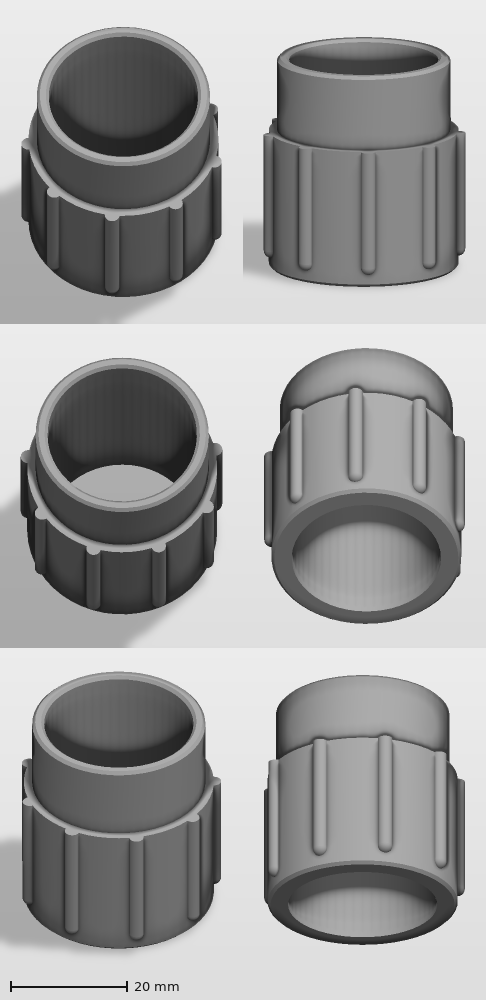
import cadquery as cq

total_height = 36.9
body_height = 24.0
body_diameter = 32.7
neck_diameter = 29.8
bore_diameter = 25.7
edge_chamfer = 0.5

rib_count = 9
rib_radius = 1.25
rib_dome_center_height = 3.5
first_rib_angle = 90.0


def make_body():
    """Wide lower sleeve with a chamfered bottom edge."""
    body = cq.Workplane("XY").circle(body_diameter / 2).extrude(body_height)
    return body.faces("<Z").edges().chamfer(edge_chamfer)


def make_neck():
    """Narrower core, full height, with a chamfered top edge."""
    neck = cq.Workplane("XY").circle(neck_diameter / 2).extrude(total_height)
    return neck.faces(">Z").edges().chamfer(edge_chamfer)


def make_rib(angle):
    """Round bar running from its dome up to the shoulder."""
    center = (body_diameter / 2, 0)
    bar = (
        cq.Workplane("XY", origin=(0, 0, rib_dome_center_height))
        .moveTo(*center)
        .circle(rib_radius)
        .extrude(body_height - rib_dome_center_height)
    )
    dome = cq.Workplane("XY").sphere(rib_radius).translate((*center, rib_dome_center_height))
    return bar.union(dome).rotate((0, 0, 0), (0, 0, 1), angle)


def make_bore():
    """Through bore with a chamfered mouth at the top."""
    bore = cq.Workplane("XY").circle(bore_diameter / 2).extrude(total_height)
    mouth = (
        cq.Workplane("XY", origin=(0, 0, total_height - edge_chamfer))
        .circle(bore_diameter / 2)
        .workplane(offset=edge_chamfer)
        .circle(bore_diameter / 2 + edge_chamfer)
        .loft(ruled=True)
    )
    return bore.union(mouth)


result = make_body().union(make_neck())
for index in range(rib_count):
    result = result.union(make_rib(first_rib_angle + index * 360.0 / rib_count))
result = result.cut(make_bore())